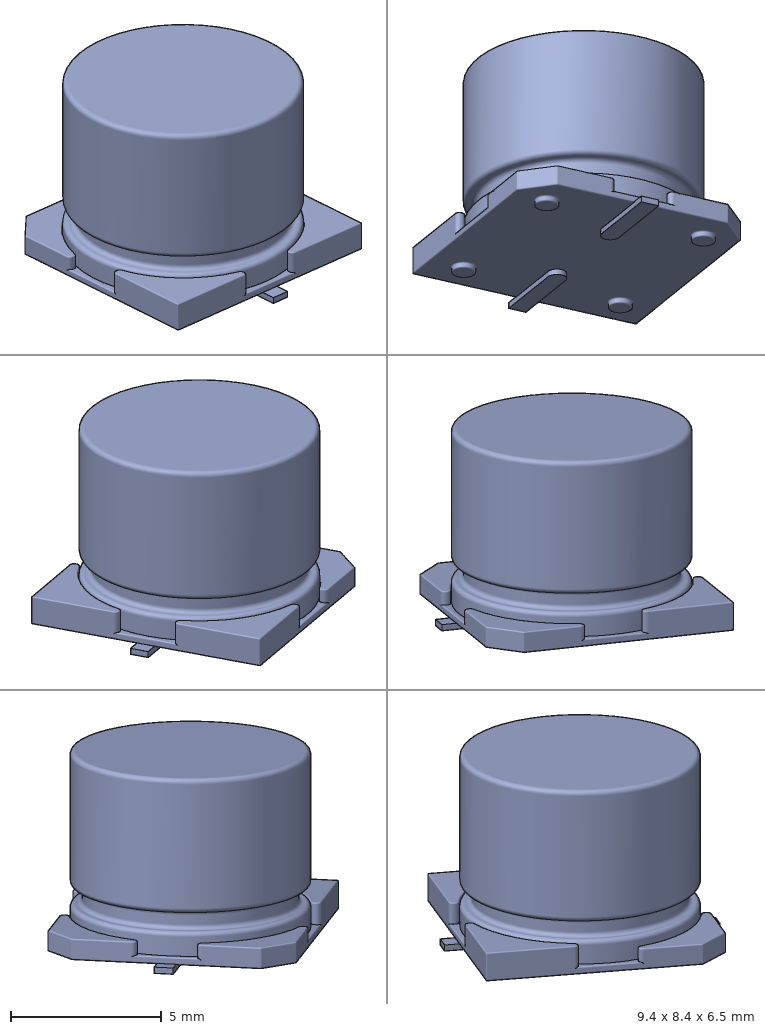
import cadquery as cq
import math

overall_length = 9.4
overall_height = 6.5
overlap = 0.02

base_width = 8.4
base_bottom = 0.2
notch_floor = 0.44
low_corner_top = 0.91
high_corner_top = 1.18
corner_chamfer = 1.0
notch_width = 2.05
block_end_radius = 0.16
edge_radius = 0.05

can_diameter = 8.0
neck_diameter = 7.2
can_top_radius = 0.17
groove_radius = 0.16
neck_bottom = 1.42
neck_top = 1.75
rim_clearance = 0.03

lead_width = 0.65
lead_inner_end = 1.57
round_end_relief = 0.001
foot_diameter = 0.8
foot_offset = 2.94
foot_edge_radius = 0.05

half_base = base_width / 2
can_r = can_diameter / 2
neck_r = neck_diameter / 2
arc_inset = 1 - math.sqrt(0.5)


def base_slab(top):
    """Base outline with the two -X corners cut off and its side and bottom edges rounded."""
    plane = cq.Workplane("XY").workplane(offset=base_bottom)
    slab = plane.rect(base_width, base_width).extrude(top - base_bottom)
    slab = slab.edges("|Z and <X").chamfer(corner_chamfer)
    return slab.edges("|Z or <Z").fillet(edge_radius)


def corner_block(x_side, y_side, top):
    """Block outside the can in one corner, with rounded ends beside the notches."""
    centre = (half_base + notch_width / 2) / 2
    size = half_base - notch_width / 2
    window = (
        cq.Workplane("XY")
        .workplane(offset=base_bottom)
        .center(x_side * centre, y_side * centre)
        .rect(size, size)
        .extrude(top - base_bottom)
    )
    well = cq.Workplane("XY").circle(can_r + rim_clearance).extrude(overall_height)
    block = base_slab(top).intersect(window).cut(well)
    end_face_x = ">X" if x_side < 0 else "<X"
    end_face_y = ">Y" if y_side < 0 else "<Y"
    block = block.edges(f"|Z and ({end_face_x} or {end_face_y})").fillet(block_end_radius)
    return block.faces(">Z").edges().fillet(edge_radius)


def can():
    """Turned can with a crimp groove above the base."""
    inset = groove_radius * arc_inset
    bead_top = neck_bottom - groove_radius
    body_bottom = neck_top + groove_radius
    top_inset = can_top_radius * arc_inset
    top_face_r = can_r - can_top_radius
    profile = (
        cq.Workplane("XZ")
        .moveTo(0, notch_floor - overlap)
        .lineTo(can_r, notch_floor - overlap)
        .lineTo(can_r, bead_top - groove_radius)
        .threePointArc((can_r - inset, bead_top - inset), (can_r - groove_radius, bead_top))
        .lineTo(neck_r + groove_radius, bead_top)
        .threePointArc((neck_r + inset, bead_top + inset), (neck_r, neck_bottom))
        .lineTo(neck_r, neck_top)
        .threePointArc((neck_r + inset, body_bottom - inset), (neck_r + groove_radius, body_bottom))
        .lineTo(can_r - groove_radius, body_bottom)
        .threePointArc((can_r - inset, body_bottom + inset), (can_r, body_bottom + groove_radius))
        .lineTo(can_r, overall_height - can_top_radius)
        .threePointArc((can_r - top_inset, overall_height - top_inset), (top_face_r, overall_height))
        .lineTo(0, overall_height)
        .close()
    )
    return profile.revolve(360, (0, 0, 0), (0, 1, 0))


def lead(side):
    """Flat lead under the base with a fully rounded inner end."""
    length = overall_length / 2 - lead_inner_end
    centre = lead_inner_end + length / 2
    strip = cq.Workplane("XY").center(side * centre, 0).rect(length, lead_width).extrude(base_bottom + overlap)
    inner_edges = "|Z and <X" if side > 0 else "|Z and >X"
    return strip.edges(inner_edges).fillet(lead_width / 2 - round_end_relief)


def foot(x, y):
    """Round standoff foot, rounded at its tip and flared where it meets the base."""
    foot_r = foot_diameter / 2
    inset = foot_edge_radius * arc_inset
    flare_start = base_bottom - foot_edge_radius
    profile = (
        cq.Workplane("XZ")
        .lineTo(foot_r - foot_edge_radius, 0)
        .threePointArc((foot_r - inset, inset), (foot_r, foot_edge_radius))
        .lineTo(foot_r, flare_start)
        .threePointArc((foot_r + inset, base_bottom - inset), (foot_r + foot_edge_radius, base_bottom))
        .lineTo(foot_r + foot_edge_radius, base_bottom + overlap)
        .lineTo(0, base_bottom + overlap)
        .close()
    )
    return profile.revolve(360, (0, 0, 0), (0, 1, 0)).translate((x, y, 0))


floor = base_slab(notch_floor).faces(">Z").edges().fillet(edge_radius)
result = floor.union(can())
for x_side in (-1, 1):
    block_top = high_corner_top if x_side > 0 else low_corner_top
    result = result.union(lead(x_side))
    for y_side in (-1, 1):
        result = result.union(corner_block(x_side, y_side, block_top))
        result = result.union(foot(x_side * foot_offset, y_side * foot_offset))